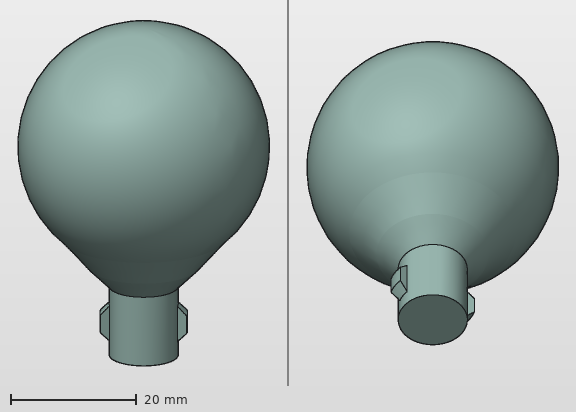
import cadquery as cq
import math

total_height = 55.0
ball_radius = 20.0
ball_center_z = total_height - ball_radius

stem_radius = 5.5
stem_height = 11.55
flare_width = 3.4
flare_top_radius = stem_radius + flare_width
flare_top_z = stem_height + flare_width
neck_top_z = 19.95
neck_top_radius = math.sqrt(ball_radius**2 - (ball_center_z - neck_top_z) ** 2)

lug_sweep = 24.5
lug_height = 6.0
lug_projection = 1.5
lug_outer_radius = stem_radius + lug_projection
lug_inner_radius = stem_radius / 2
lug_center_z = 5.6
lug_angles = (43, 223)


def make_body():
    """Revolve the ball, the tapered neck and the stem as one profile."""
    profile = (
        cq.Workplane("XZ")
        .moveTo(0, 0)
        .lineTo(stem_radius, 0)
        .lineTo(stem_radius, stem_height)
        .lineTo(flare_top_radius, flare_top_z)
        .lineTo(neck_top_radius, neck_top_z)
        .threePointArc((ball_radius, ball_center_z), (0, total_height))
        .close()
    )
    return profile.revolve(360, (0, 0), (0, 1))


def make_lug(center_angle):
    """Sweep a lug section with 45 degree ends around the stem axis, centred on the given angle."""
    half_base = lug_height / 2
    half_face = half_base - lug_projection
    sector = (
        cq.Workplane("XZ")
        .moveTo(lug_inner_radius, lug_center_z - half_base)
        .lineTo(stem_radius, lug_center_z - half_base)
        .lineTo(lug_outer_radius, lug_center_z - half_face)
        .lineTo(lug_outer_radius, lug_center_z + half_face)
        .lineTo(stem_radius, lug_center_z + half_base)
        .lineTo(lug_inner_radius, lug_center_z + half_base)
        .close()
        .revolve(lug_sweep, (0, 0), (0, 1))
    )
    return sector.rotate((0, 0, 0), (0, 0, 1), center_angle - lug_sweep / 2)


result = make_body()
for lug_angle in lug_angles:
    result = result.union(make_lug(lug_angle))